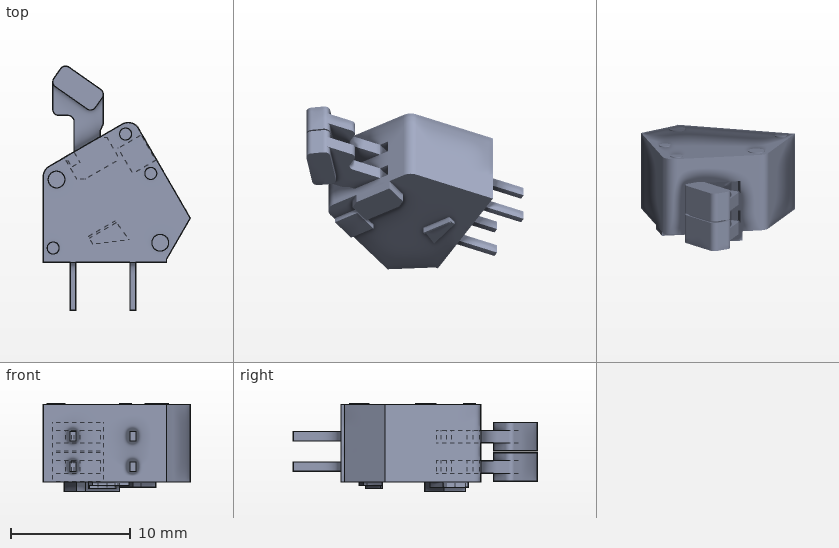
import cadquery as cq
import math


body_height = 6.5
base_width = 10.34
base_step = 0.28
nose_x = 12.32
left_wall_length = 7.76
body_fillet = 1.0
slope = 30.0

bump_height = 0.08
small_bump_radius = 0.5
large_bump_radius = 0.7
small_bumps = [(0.84, 1.21), (6.90, 10.75), (9.01, 7.45)]
large_bumps = [(1.12, 6.94), (9.80, 1.65)]

pole_heights = (1.27, 3.81)

pin_width = 0.5
pin_height = 0.8
pin_length = 4.0
pin_embed = 0.5
pin_columns = (2.5, 7.5)
pin_rise = 0.03

arm_height = 1.05
arm_left = 2.58
arm_right = 4.80
arm_head_underside = 12.30
arm_fillet = 0.5
arm_taper_start = 11.07
arm_taper_end = 11.58
arm_root_depth = 1.0
lever_gap = 0.8
knob_center = (2.92, 14.6)
knob_length = 4.25
knob_width = 2.0
knob_height = 2.4
knob_radius = 0.5
knob_tilt = -35.0

key_center = (4.08, 8.72)
key_length = 3.94
key_width = 2.45
key_span_y = 3.44
key_depth = 0.8
pad_corner = (7.50, 7.44)
pad_length = 2.23
pad_width = 2.45
pad_depth = 0.44
ridge_corner = (3.88, 2.04)
ridge_length = 2.58
ridge_width = 0.17
ridge_depth = 0.55
step_low_corner = (4.15, 1.53)
step_right_corner = (7.19, 1.91)
step_depth = 0.3

cos_slope = math.cos(math.radians(slope))
sin_slope = math.sin(math.radians(slope))
tan_slope = math.tan(math.radians(slope))


def shifted(point, along=0.0, across=0.0):
    """Move a point along the sloped face and across it (outward is positive)."""
    x, y = point
    return (
        x + along * cos_slope - across * sin_slope,
        y + along * sin_slope + across * cos_slope,
    )


def slope_point(x):
    """Point of the sloped lever face at the given x."""
    return (x, left_wall_length + x * tan_slope)


def prism(points, bottom, height):
    return cq.Workplane("XY").workplane(offset=bottom).polyline(points).close().extrude(height)


def sloped_rectangle(corner, length, width):
    """Corners of a rectangle aligned with the sloped face, from its lowest corner."""
    return [
        corner,
        shifted(corner, length),
        shifted(corner, length, width),
        shifted(corner, 0, width),
    ]


def make_housing():
    nose_y = base_step + (nose_x - base_width) / tan_slope
    apex_x = (nose_y + nose_x / tan_slope - left_wall_length) / (tan_slope + 1 / tan_slope)
    left_corner = slope_point(0)
    apex = slope_point(apex_x)
    outline = [(0, 0), (base_width, 0), (base_width, base_step), (nose_x, nose_y), apex, left_corner]
    housing = prism(outline, 0, body_height)
    for corner in (apex, left_corner):
        edge = housing.edges(cq.selectors.NearestToPointSelector((*corner, body_height / 2)))
        housing = edge.fillet(body_fillet)
    return housing


def make_bumps(centers, radius):
    top = cq.Workplane("XY").workplane(offset=body_height)
    return top.pushPoints(centers).circle(radius).extrude(bump_height)


def make_pin(column, level):
    length = pin_length + pin_embed
    pin = cq.Workplane("XY").box(pin_width, length, pin_height)
    return pin.translate((column, pin_embed - length / 2, level))


def knob_corner_center(side):
    """Center of the knob rounding farthest right (side = 1) or left (side = -1)."""
    tilt = math.radians(knob_tilt)
    along = side * (knob_length / 2 - knob_radius)
    across = side * (knob_width / 2 - knob_radius)
    return (
        knob_center[0] + along * math.cos(tilt) - across * math.sin(tilt),
        knob_center[1] + along * math.sin(tilt) + across * math.cos(tilt),
    )


def make_lever(level):
    knob = cq.Workplane("XY").box(knob_length, knob_width, knob_height)
    knob = knob.edges("|Z").fillet(knob_radius)
    knob = knob.rotate((0, 0, 0), (0, 0, 1), knob_tilt).translate((*knob_center, level))

    left_center = knob_corner_center(-1)
    right_center = knob_corner_center(1)
    head_left = left_center[0] - knob_radius
    head_right = right_center[0] + knob_radius
    root_left = slope_point(arm_left)
    root_right = slope_point(arm_right)
    outer_corner = (head_left, arm_head_underside)
    inner_corner = (arm_left, arm_head_underside)
    outline = [
        (head_left, left_center[1]),
        outer_corner,
        inner_corner,
        root_left,
        shifted(root_left, across=-arm_root_depth),
        shifted(root_right, across=-arm_root_depth),
        root_right,
        (arm_right, arm_taper_start),
        (head_right, arm_taper_end),
        (head_right, right_center[1]),
    ]
    arm = prism(outline, level - arm_height / 2, arm_height)
    for corner in (outer_corner, inner_corner):
        edge = arm.edges(cq.selectors.NearestToPointSelector((*corner, level)))
        arm = edge.fillet(arm_fillet)
    return arm.union(knob)


def make_lever_gap(level):
    """Pocket beside the lever root, open through the sloped face."""
    mouth = slope_point(arm_left)
    corner = shifted(mouth, -lever_gap, -arm_root_depth)
    outline = sloped_rectangle(corner, lever_gap, arm_root_depth)
    return prism(outline, level - arm_height / 2, arm_height)


def make_key():
    key = cq.Workplane("XY").box(key_length, key_width, key_depth).rotate((0, 0, 0), (0, 0, 1), slope)
    trim = cq.Workplane("XY").box(2 * key_length, key_span_y, key_depth)
    return key.intersect(trim).translate((*key_center, -key_depth / 2))


def make_pad():
    return prism(sloped_rectangle(pad_corner, pad_length, pad_width), -pad_depth, pad_depth)


def make_ridge():
    outline = sloped_rectangle(ridge_corner, ridge_length, ridge_width)
    ridge = prism(outline, -ridge_depth, ridge_depth)
    ridge_right_end, ridge_left_end = outline[2:]
    step_outline = [ridge_left_end, step_low_corner, step_right_corner, ridge_right_end]
    return ridge.union(prism(step_outline, -step_depth, step_depth))


result = make_housing()
for pole_level in pole_heights:
    result = result.cut(make_lever_gap(pole_level))
    result = result.union(make_lever(pole_level))
    for pin_column in pin_columns:
        result = result.union(make_pin(pin_column, pole_level + pin_rise))
result = result.union(make_bumps(small_bumps, small_bump_radius))
result = result.union(make_bumps(large_bumps, large_bump_radius))
result = result.union(make_key()).union(make_pad()).union(make_ridge())